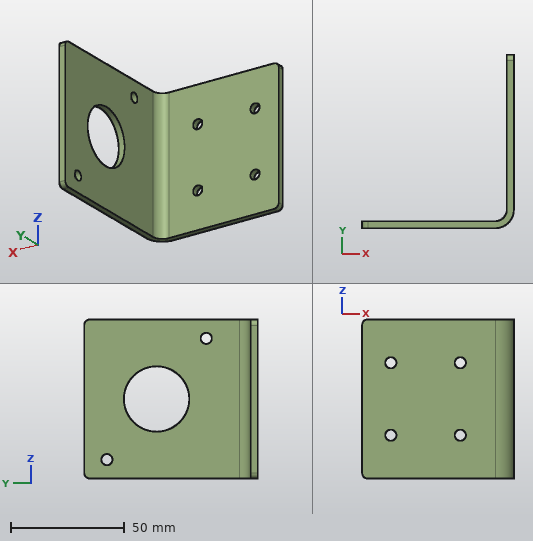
import cadquery as cq

width = 66.7
depth = 76.2
height = 69.9
thickness = 3.2
inner_bend_radius = 5.0
outer_bend_radius = inner_bend_radius + thickness
corner_radius = 2.5

small_hole_diameter = 4.8
mount_spacing_x = 30.5
mount_spacing_z = 31.8
mount_center_x = 27.9

opening_diameter = 28.6
opening_from_free_edge = 31.8
diagonal_offset_y = 21.8
diagonal_offset_z = 26.6

mid_height = height / 2
opening_center_y = depth - opening_from_free_edge


def bent_sheet():
    """L-shaped sheet with a concentric bend at the +X, -Y corner."""
    profile = (
        cq.Workplane("XY")
        .polyline([
            (0, 0), (width, 0), (width, depth), (width - thickness, depth),
            (width - thickness, thickness), (0, thickness),
        ])
        .close()
        .extrude(height)
    )
    outer_bend = cq.selectors.NearestToPointSelector((width, 0, mid_height))
    inner_bend = cq.selectors.NearestToPointSelector((width - thickness, thickness, mid_height))
    return profile.edges(outer_bend).fillet(outer_bend_radius).edges(inner_bend).fillet(inner_bend_radius)


def round_free_corners(sheet):
    """Round the two outer corners of each leg."""
    sheet = sheet.faces("<X").edges("|Y").fillet(corner_radius)
    return sheet.faces(">Y").edges("|X").fillet(corner_radius)


def mounting_holes():
    """Cutters through the mounting leg."""
    return (
        cq.Workplane("XZ", origin=(mount_center_x, thickness, mid_height))
        .rarray(mount_spacing_x, mount_spacing_z, 2, 2)
        .circle(small_hole_diameter / 2)
        .extrude(thickness)
    )


def motor_holes():
    """Cutters through the motor leg: the opening and its diagonal hole pair."""
    plane = cq.Workplane("YZ", origin=(width - thickness, opening_center_y, mid_height))
    opening = plane.circle(opening_diameter / 2).extrude(thickness)
    diagonal_pair = (
        plane.pushPoints([
            (-diagonal_offset_y, diagonal_offset_z),
            (diagonal_offset_y, -diagonal_offset_z),
        ])
        .circle(small_hole_diameter / 2)
        .extrude(thickness)
    )
    return opening.union(diagonal_pair)


result = round_free_corners(bent_sheet()).cut(mounting_holes()).cut(motor_holes())